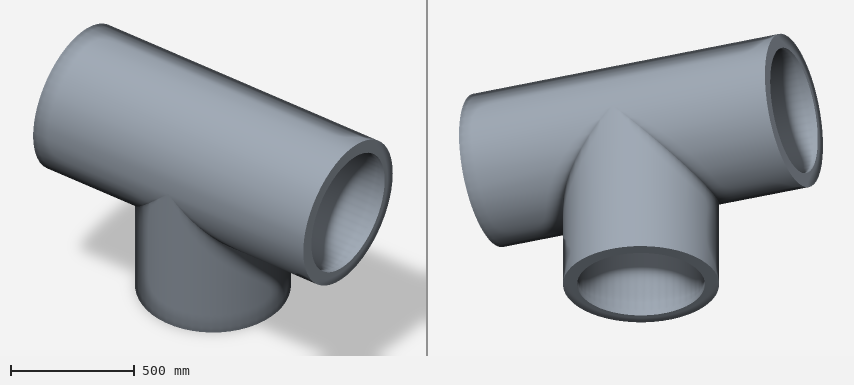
import cadquery as cq

run_length = 1330.0
branch_length = run_length / 2
outer_diameter = 630.0
bore_diameter = 516.0


def tee_cylinders(diameter):
    """Run and branch cylinders of one diameter, joined at the crossing."""
    run = cq.Workplane("YZ").circle(diameter / 2).extrude(run_length / 2, both=True)
    branch = cq.Workplane("XY").circle(diameter / 2).extrude(-branch_length)
    return run.union(branch)


result = tee_cylinders(outer_diameter).cut(tee_cylinders(bore_diameter))